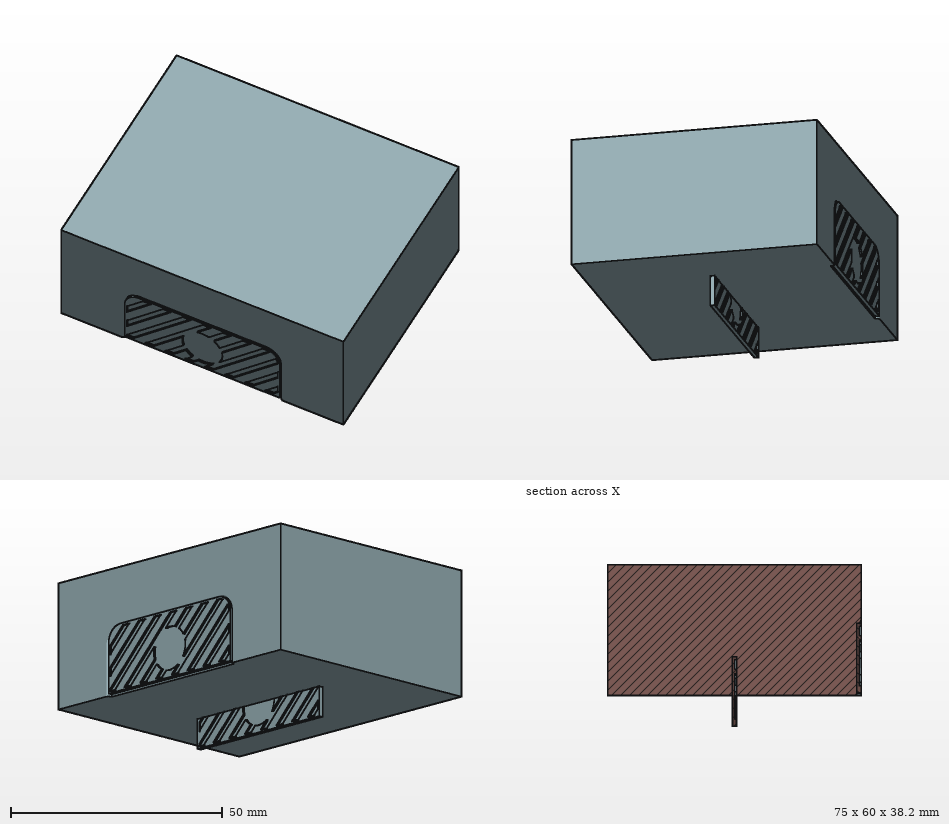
import cadquery as cq
import math

housing_width = 75.0
housing_depth = 60.0
housing_height = 31.0
front_y = -housing_depth / 2

plate_width = 41.1
plate_height = 16.4
plate_thickness = 1.05
plate_corner_radius = 4.05

front_plate_bottom = 0.6
total_height = 38.25
lowered_plate_bottom = housing_height - total_height
lowered_plate_front = -plate_thickness / 2
recess_edge_radius = 1.0

engraving_depth = 0.45
engraving_margin = 0.5
stripe_angle = 45.0
stripe_pitch = 3.75
stripe_width = 1.5
stripe_offset = -2.2
field_radius = 5.3
field_height = 7.1


def arched_block(width, height, thickness, corner_radius, bottom, front):
    """Upright plate with rounded top corners, standing on 'bottom' and running back from 'front'."""
    return (
        cq.Workplane("XY", origin=(0, front, bottom))
        .box(width, thickness, height, centered=(True, False, False))
        .edges("|Y and >Z")
        .fillet(corner_radius)
    )


def engraving_cutter(bottom, front):
    """Diagonal stripes, cut to the inset plate outline, that run into a round sunken field."""
    area = arched_block(
        plate_width - 2 * engraving_margin,
        plate_height - 2 * engraving_margin,
        engraving_depth,
        plate_corner_radius - engraving_margin,
        bottom + engraving_margin,
        front,
    )
    field_center = (0, front, bottom + field_height)
    field = cq.Workplane("XZ", origin=field_center).circle(field_radius).extrude(-engraving_depth)
    stripe_length = 2 * plate_width
    stripes_per_side = math.ceil(plate_width / 2 / stripe_pitch)
    stripe_places = [
        (0, stripe_offset + index * stripe_pitch)
        for index in range(-stripes_per_side, stripes_per_side + 1)
    ]
    stripes = (
        cq.Workplane("XZ", origin=field_center)
        .transformed(rotate=(0, 0, stripe_angle))
        .pushPoints(stripe_places)
        .rect(stripe_length, stripe_width)
        .extrude(-engraving_depth)
    )
    return area.intersect(stripes).union(field)


def hatched_plate(bottom, front):
    """Plate with the stripe engraving sunk into its front face."""
    blank = arched_block(
        plate_width, plate_height, plate_thickness, plate_corner_radius, bottom, front
    )
    return blank.cut(engraving_cutter(bottom, front))


def plate_recess(plate_bottom, front):
    """Space for one plate, continued down through the housing's bottom face."""
    top = plate_bottom + plate_height
    return arched_block(plate_width, top, plate_thickness, plate_corner_radius, 0, front)


def make_housing():
    block = cq.Workplane("XY").box(
        housing_width, housing_depth, housing_height, centered=(True, True, False)
    )
    block = block.cut(plate_recess(front_plate_bottom, front_y))

    mouth_reach = plate_width / 2 + recess_edge_radius
    mouth_edges = cq.selectors.BoxSelector(
        (-mouth_reach, front_y - recess_edge_radius, recess_edge_radius),
        (mouth_reach, front_y + recess_edge_radius / 2, housing_height - recess_edge_radius),
    )
    block = block.edges(mouth_edges).fillet(recess_edge_radius)

    return block.cut(plate_recess(lowered_plate_bottom, lowered_plate_front))


plate_places = [
    (front_plate_bottom, front_y),
    (lowered_plate_bottom, lowered_plate_front),
]

housing = make_housing()
plates = [hatched_plate(bottom, front) for bottom, front in plate_places]

result = cq.Compound.makeCompound([housing.val(), *[plate.val() for plate in plates]])